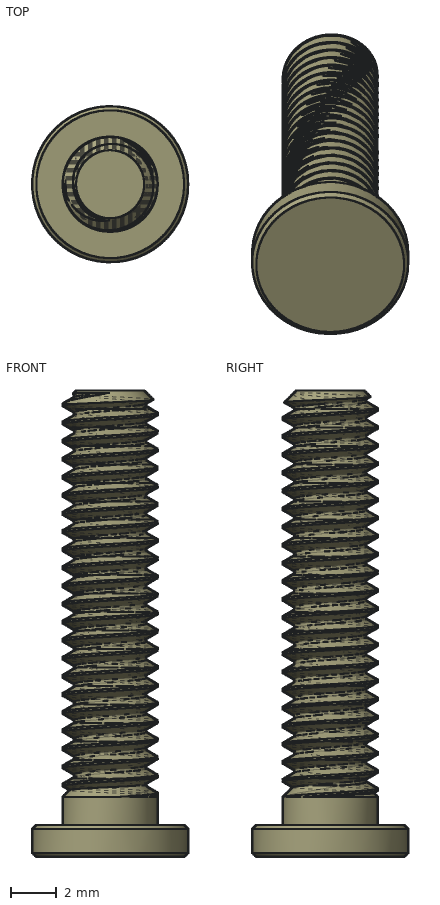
import cadquery as cq
import math

length = 20.45

head_radius = 6.85 / 2
head_height = 1.41
head_chamfer = 0.18

shank_radius = 2.09
collar_length = 1.23
collar_top = head_height + collar_length
tip_radius = 1.5

thread_length = length - collar_top
turn_count = 22.45
pitch = thread_length / turn_count
half_flank_angle = math.radians(30)
crest_width = pitch / 8
thread_depth = 0.613 * pitch
root_radius = shank_radius - thread_depth

crest_rise_at_x = 0.12

stretch_count = math.floor(turn_count)
stretch = thread_length / stretch_count
first_joint = collar_top + stretch
last_joint = length - stretch

cone_overlap = 0.2

height_tolerance = 0.02


def half_ridge_angle(radius):
    """Half the angle that the ridge spans at a radius, in a cut square to the axis."""
    half_width = crest_width / 2 + (shank_radius - radius) * math.tan(half_flank_angle)
    return 2 * math.pi * half_width / pitch


def make_thread_stretch(bottom):
    """Stretch of threaded rod: a spiral-flanked section, twisted once per pitch."""
    crest_angle = 2 * math.pi * (bottom - collar_top - crest_rise_at_x) / pitch

    def point(radius, angle):
        return (radius * math.cos(crest_angle + angle), radius * math.sin(crest_angle + angle))

    def flank(side, t):
        """Point on a flank, from the root at t = 0 to the crest at t = 1."""
        radius = root_radius + t * thread_depth
        return point(radius, side * half_ridge_angle(radius))

    section = (
        cq.Workplane("XY", origin=(0, 0, bottom))
        .parametricCurve(lambda t: flank(-1, t), N=20, makeWire=False)
        .moveTo(*flank(-1, 1))
        .threePointArc(point(shank_radius, 0), flank(1, 1))
        .parametricCurve(lambda t: flank(1, 1 - t), N=20, makeWire=False)
        .moveTo(*flank(1, 0))
        .threePointArc(point(root_radius, math.pi), flank(-1, 0))
        .wire()
    )
    return section.twistExtrude(stretch, 360 * stretch / pitch)


def make_cone(base_radius, bottom, height):
    """Cone with 45 degree sides, narrowing upward from its base."""
    top_radius = base_radius - height
    top = bottom + height
    outline = [(0, bottom), (base_radius, bottom), (top_radius, top), (0, top)]
    return cq.Workplane("XZ").polyline(outline).close().revolve(360, (0, 0, 0), (0, 1, 0))


def make_head_and_collar():
    """Chamfered disc head with the plain collar on top."""
    head = cq.Workplane("XY").circle(head_radius).extrude(head_height).edges().chamfer(head_chamfer)
    return head.faces(">Z").workplane().circle(shank_radius).extrude(collar_length)


def is_joint(face):
    """True for the flat end faces where one stretch meets the next."""
    height = face.Center().z
    within_joints = first_joint - height_tolerance < height < last_joint + height_tolerance
    return face.geomType() == "PLANE" and within_joints


stretches = [make_thread_stretch(collar_top + i * stretch) for i in range(stretch_count)]

collar_cone = make_cone(shank_radius, collar_top, thread_depth + cone_overlap)
stretches[0] = stretches[0].union(collar_cone).union(make_head_and_collar())

tip_cone = make_cone(tip_radius + stretch, last_joint, stretch)
stretches[-1] = stretches[-1].intersect(tip_cone)

skin = [face for part in stretches for face in part.faces().vals() if not is_joint(face)]
result = cq.Workplane(cq.Solid.makeSolid(cq.Shell.makeShell(skin)))